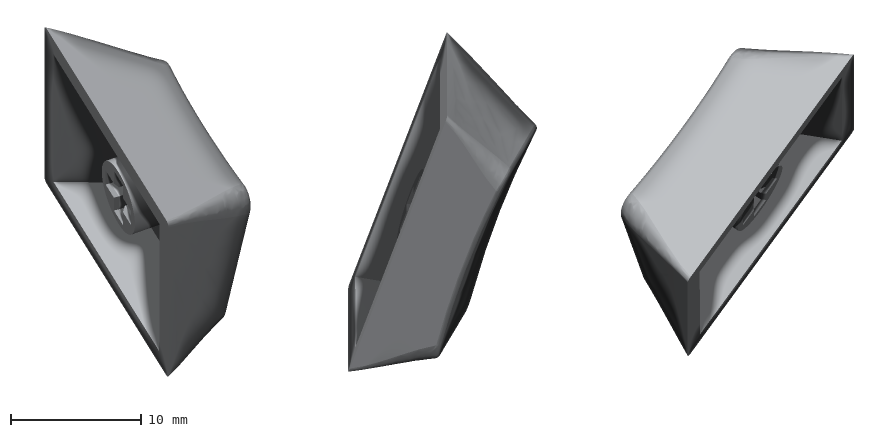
import cadquery as cq
import math

RIM_WIDTH = 22.5
RIM_HEIGHT = 18.0
RIM_CORNER_RADIUS = 0.4
CROWN_WIDTH = 16.42
CROWN_CORNER_RADIUS = 1.69
CROWN_UPPER_Y = 8.78
CROWN_LOWER_Y = 6.08
CROWN_UPPER_Z = 4.77
LOWER_Z = -RIM_HEIGHT / 2
SECTION_COUNT = 5

DISH_DEPTH = 0.47
CROWN_EDGE_FILLET = 0.4

POCKET_UPPER_Z = 7.31
POCKET_LOWER_Z = -7.52
POCKET_RIM_WIDTH_UPPER = 19.3
POCKET_RIM_WIDTH_LOWER = 19.12
POCKET_FLOOR_UPPER_Z = 3.87
POCKET_FLOOR_UPPER_Y = 7.05
POCKET_FLOOR_LOWER_Y = 4.82
POCKET_FLOOR_WIDTH_UPPER = 14.26
POCKET_FLOOR_WIDTH_LOWER = 14.58

STEM_DIAMETER = 6.0
STEM_RECESS = 1.01
CROSS_LENGTH = 4.05
CROSS_ARM_WIDTH = 1.05
CROSS_CHAMFER = 0.3
CROSS_DEPTH = 3.6

crown_rise = CROWN_UPPER_Y - CROWN_LOWER_Y
crown_run = CROWN_UPPER_Z - LOWER_Z
crown_length = math.hypot(crown_rise, crown_run)
crown_centre = cq.Vector(0, (CROWN_UPPER_Y + CROWN_LOWER_Y) / 2, (CROWN_UPPER_Z + LOWER_Z) / 2)
crown_up = cq.Vector(0, crown_rise, crown_run).normalized()


def blend(start, end, fraction):
    """Value part of the way from start to end."""
    return start + (end - start) * fraction


def shell_section(fraction):
    """Rounded rectangle part of the way from the rim (0) to the crown (1)."""
    upper = cq.Vector(0, CROWN_UPPER_Y * fraction, blend(RIM_HEIGHT / 2, CROWN_UPPER_Z, fraction))
    lower = cq.Vector(0, CROWN_LOWER_Y * fraction, LOWER_Z)
    up = upper - lower
    normal = cq.Vector(1, 0, 0).cross(up)
    plane = cq.Plane((upper + lower) * 0.5, xDir=(1, 0, 0), normal=normal)
    eased = fraction**2 * (3 - 2 * fraction)
    radius = blend(RIM_CORNER_RADIUS, CROWN_CORNER_RADIUS, eased)
    width = blend(RIM_WIDTH, CROWN_WIDTH, fraction)
    outline = cq.Sketch().rect(width, up.Length).vertices().fillet(radius)
    return outline.reset().faces().val().outerWire().moved(plane.location)


def dish():
    """Cylinder that meets the side edges of the crown and dips at its middle."""
    half_width = CROWN_WIDTH / 2
    radius = (half_width**2 + DISH_DEPTH**2) / (2 * DISH_DEPTH)
    length = 2 * crown_length
    outward = crown_up.cross(cq.Vector(1, 0, 0))
    axis_start = crown_centre + outward * (radius - DISH_DEPTH) - crown_up * (length / 2)
    return cq.Solid.makeCylinder(radius, length, axis_start, crown_up)


def shell():
    sections = [shell_section(i / (SECTION_COUNT - 1)) for i in range(SECTION_COUNT)]
    blank = cq.Workplane(cq.Solid.makeLoft(sections))
    dished = blank.cut(cq.Workplane(dish()))
    crown_face = dished.faces(cq.selectors.NearestToPointSelector(crown_centre.toTuple()))
    return crown_face.edges().fillet(CROWN_EDGE_FILLET)


def trapezoid(width_upper, upper_y, upper_z, width_lower, lower_y):
    """Closed outline with a level upper edge and a level lower edge."""
    return cq.Wire.makePolygon(
        [
            cq.Vector(-width_lower / 2, lower_y, POCKET_LOWER_Z),
            cq.Vector(width_lower / 2, lower_y, POCKET_LOWER_Z),
            cq.Vector(width_upper / 2, upper_y, upper_z),
            cq.Vector(-width_upper / 2, upper_y, upper_z),
        ],
        close=True,
    )


def pocket():
    mouth = trapezoid(POCKET_RIM_WIDTH_UPPER, 0, POCKET_UPPER_Z, POCKET_RIM_WIDTH_LOWER, 0)
    floor = trapezoid(
        POCKET_FLOOR_WIDTH_UPPER,
        POCKET_FLOOR_UPPER_Y,
        POCKET_FLOOR_UPPER_Z,
        POCKET_FLOOR_WIDTH_LOWER,
        POCKET_FLOOR_LOWER_Y,
    )
    return cq.Workplane(cq.Solid.makeLoft([mouth, floor], True))


def stem_socket():
    face_plane = cq.Workplane("XZ", origin=(0, STEM_RECESS, 0))

    def cross(growth):
        length = CROSS_LENGTH + growth
        width = CROSS_ARM_WIDTH + growth
        return cq.Sketch().rect(length, width).rect(width, length).clean()

    straight = face_plane.placeSketch(cross(0)).extrude(-CROSS_DEPTH)
    lead_in = face_plane.placeSketch(
        cross(2 * CROSS_CHAMFER),
        cross(0).moved(cq.Location(cq.Vector(0, 0, -CROSS_CHAMFER))),
    ).loft(ruled=True)
    return straight.union(lead_in)


def stem():
    column = cq.Workplane("XZ", origin=(0, STEM_RECESS, 0)).circle(STEM_DIAMETER / 2).extrude(-CROWN_UPPER_Y)
    return column.intersect(pocket())


result = shell().cut(pocket()).union(stem()).cut(stem_socket())